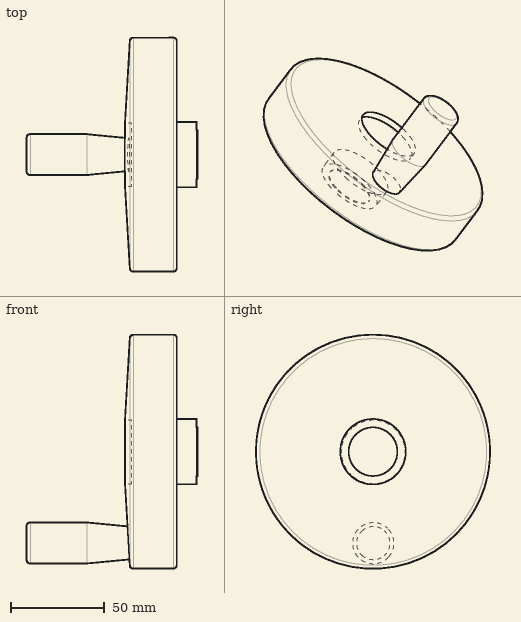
import cadquery as cq
import math

wheel_diameter = 125.0
wheel_depth = 27.75
cone_angle = 3.35
rim_fillet = 2.0

recess_diameter = 34.0
recess_depth = 3.5

hub_diameter = 35.0
hub_length = 10.5
hub_pad_diameter = 26.0
hub_pad_height = 0.5

overall_length = 91.25
grip_offset = 48.7
grip_diameter = 22.0
grip_straight_length = 32.25
grip_base_diameter = 17.6
grip_fillet = 2.0

hub_end_x = hub_length + hub_pad_height
grip_end_x = hub_end_x - overall_length
front_x = -wheel_depth
cone_drop = (wheel_diameter - recess_diameter) / 2 * math.tan(math.radians(cone_angle))
rim_front_x = front_x + cone_drop


def disc(x_start, diameter, length):
    """Solid cylinder on the X axis, growing toward +X."""
    return cq.Workplane("YZ", origin=(x_start, 0, 0)).circle(diameter / 2).extrude(length)


def revolve_about_x(profile_points):
    """Revolve a closed (x, radius) outline about the X axis."""
    profile = cq.Workplane("XZ").polyline(profile_points).close()
    return profile.revolve(360, (0, 0, 0), (1, 0, 0))


def make_wheel():
    """Disc with a slightly conical front, rounded rim and a front recess."""
    wheel_radius = wheel_diameter / 2
    recess_radius = recess_diameter / 2
    body = revolve_about_x([
        (0, 0),
        (0, wheel_radius),
        (rim_front_x, wheel_radius),
        (front_x, recess_radius),
        (front_x, 0),
    ])
    largest_circles = cq.selectors.RadiusNthSelector(-1)
    body = body.edges("%CIRCLE").edges(largest_circles).fillet(rim_fillet)
    return body.cut(disc(front_x, recess_diameter, recess_depth))


def make_hub():
    """Plain cylindrical hub with a low round pad on its end."""
    hub = disc(0, hub_diameter, hub_length)
    return hub.union(disc(hub_length, hub_pad_diameter, hub_pad_height))


def make_grip():
    """Cylindrical grip with a rounded end, tapering toward the wheel."""
    taper_start_x = grip_end_x + grip_straight_length
    grip = revolve_about_x([
        (grip_end_x, 0),
        (grip_end_x, grip_diameter / 2),
        (taper_start_x, grip_diameter / 2),
        (rim_front_x, grip_base_diameter / 2),
        (rim_front_x, 0),
    ])
    grip = grip.faces("<X").edges().fillet(grip_fillet)
    return grip.translate((0, 0, -grip_offset))


result = make_wheel().union(make_hub()).union(make_grip())